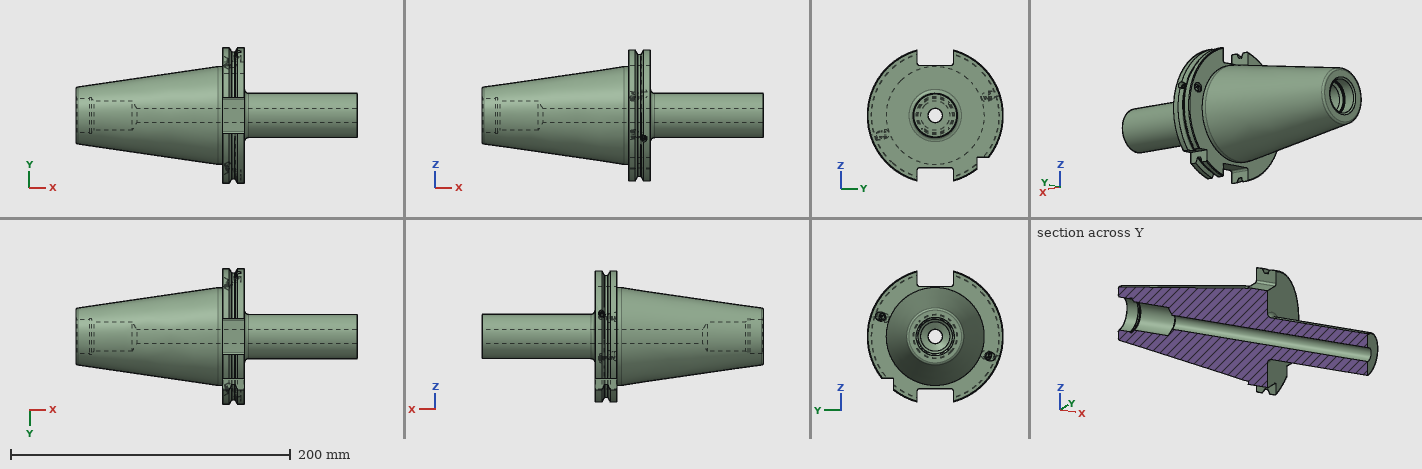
import cadquery as cq
import math

total_length = 201.5

gauge_x = 101.6
gauge_radius = 35.0
taper_slope = 3.5 / 24
small_end_radius = gauge_radius - gauge_x * taper_slope
small_end_fillet = 1.6

flange_start_x = 104.8
flange_end_x = 120.8
flange_diameter = 97.4
flange_radius = flange_diameter / 2
flange_chamfer = 0.6
groove_center_x = 112.7
groove_width = 6.0
groove_floor_width = 2.5
groove_wall_angle = 30.0
groove_floor_fillet = 0.6
groove_depth = (groove_width - groove_floor_width) / 2 / math.tan(math.radians(groove_wall_angle))

shank_radius = 16.0
shank_root_fillet = 2.8
shank_end_chamfer = 0.6

mouth_radius = 13.7
mouth_chamfer_length = 0.8
socket_radius = 12.3
socket_depth = 11.0
relief_radius = 13.0
relief_width = 1.5
thread_radius = 10.5
thread_depth = 40.3
drill_point_half_angle = 59.0
through_radius = 5.0

slot_width = 25.8
slot_fillet = 1.6
upper_slot_floor = 35.9
lower_slot_floor = 37.5

notch_corner = 30.0

coolant_angles = (20.0, 200.0)
plug_chamfer = 0.6
face_hole_pitch_radius = 41.7
face_hole_radius = 3.2
face_hole_tilt = 30.0
face_recess = 3.0
face_plug_length = 4.0
face_hexagon_width = 3.0
face_hexagon_depth = 2.0
side_hole_x = 115.7
side_hole_radius = 2.5
side_recess = 2.8
side_plug_length = 4.0
side_hexagon_width = 2.0
side_hexagon_depth = 1.6


def holder_blank():
    """Taper, flange and shank turned in one piece, before any bore or cut."""
    groove_floor_radius = flange_radius - groove_depth
    profile = (
        cq.Workplane("XY")
        .moveTo(0, 0)
        .lineTo(0, small_end_radius)
        .lineTo(gauge_x, gauge_radius)
        .lineTo(flange_start_x, gauge_radius)
        .lineTo(flange_start_x, flange_radius - flange_chamfer)
        .lineTo(flange_start_x + flange_chamfer, flange_radius)
        .lineTo(groove_center_x - groove_width / 2, flange_radius)
        .lineTo(groove_center_x - groove_floor_width / 2, groove_floor_radius)
        .lineTo(groove_center_x + groove_floor_width / 2, groove_floor_radius)
        .lineTo(groove_center_x + groove_width / 2, flange_radius)
        .lineTo(flange_end_x - flange_chamfer, flange_radius)
        .lineTo(flange_end_x, flange_radius - flange_chamfer)
        .lineTo(flange_end_x, shank_radius + shank_root_fillet)
        .radiusArc((flange_end_x + shank_root_fillet, shank_radius), -shank_root_fillet)
        .lineTo(total_length - shank_end_chamfer, shank_radius)
        .lineTo(total_length, shank_radius - shank_end_chamfer)
        .lineTo(total_length, 0)
        .close()
    )
    blank = profile.revolve(360, (0, 0, 0), (1, 0, 0))
    return blank.faces("<X").edges().fillet(small_end_fillet)


def round_groove_floor(blank):
    """Fillet both corners at the floor of the V groove."""
    reach = flange_radius
    floor_zone = cq.selectors.BoxSelector(
        (groove_center_x - groove_floor_width, -reach, -reach),
        (groove_center_x + groove_floor_width, reach, reach),
        boundingbox=True,
    )
    return blank.edges(floor_zone).edges("%CIRCLE").fillet(groove_floor_fillet)


def axial_bore():
    """Stepped bore: chamfered socket with a relief groove, threaded part, drill point and through hole."""
    step = socket_radius - thread_radius
    point_length = (thread_radius - through_radius) / math.tan(math.radians(drill_point_half_angle))
    return (
        cq.Workplane("XY")
        .moveTo(0, 0)
        .lineTo(0, mouth_radius)
        .lineTo(mouth_chamfer_length, socket_radius)
        .lineTo(socket_depth - relief_width, socket_radius)
        .lineTo(socket_depth - relief_width, relief_radius)
        .lineTo(socket_depth, relief_radius)
        .lineTo(socket_depth, socket_radius)
        .lineTo(socket_depth + step, thread_radius)
        .lineTo(thread_depth, thread_radius)
        .lineTo(thread_depth + point_length, through_radius)
        .lineTo(total_length, through_radius)
        .lineTo(total_length, 0)
        .close()
        .revolve(360, (0, 0, 0), (1, 0, 0))
    )


def flange_block(y_min, y_max, z_min, z_max):
    """Box across the full width of the flange."""
    return cq.Workplane("XY").box(
        flange_end_x - flange_start_x, y_max - y_min, z_max - z_min, centered=False
    ).translate((flange_start_x, y_min, z_min))


def driving_slots():
    """Two slots of different depth, above and below the axis, with rounded floor corners."""
    half = slot_width / 2
    upper = flange_block(-half, half, upper_slot_floor, flange_radius)
    lower = flange_block(-half, half, -flange_radius, -lower_slot_floor)
    return (
        upper.faces("<Z").edges("|X").fillet(slot_fillet),
        lower.faces(">Z").edges("|X").fillet(slot_fillet),
    )


def orientation_notch():
    """Square corner notch on the +Y, -Z side of the flange."""
    return flange_block(notch_corner, flange_radius, -flange_radius, -notch_corner)


def face_hole_plane(angle):
    """Plane on the taper-side flange face, its normal tilted outwards from the tool axis."""
    turn = math.radians(angle)
    tilt = math.radians(face_hole_tilt)
    out_y, out_z = math.cos(turn), math.sin(turn)
    center = (flange_start_x, face_hole_pitch_radius * out_y, face_hole_pitch_radius * out_z)
    normal = (-math.cos(tilt), math.sin(tilt) * out_y, math.sin(tilt) * out_z)
    return cq.Plane(origin=center, xDir=(0, -out_z, out_y), normal=normal)


def side_hole_plane(angle):
    """Plane at the flange rim, its normal pointing radially outwards."""
    turn = math.radians(angle)
    out_y, out_z = math.cos(turn), math.sin(turn)
    center = (side_hole_x, flange_radius * out_y, flange_radius * out_z)
    return cq.Plane(origin=center, xDir=(1, 0, 0), normal=(0, out_y, out_z))


def plug_hole(plane, radius, depth):
    """Blind hole that starts one diameter outside the plane, so it clears a slanted surface."""
    return cq.Workplane(plane).workplane(offset=-depth).circle(radius).extrude(depth + 2 * radius)


def plug(plane, radius, recess, length, hexagon_width, hexagon_depth):
    """Set screw sunk below the plane, with a chamfered rim and a hexagon socket in its outer end."""
    hexagon_diameter = hexagon_width / math.cos(math.radians(30))
    body = cq.Workplane(plane).workplane(offset=-recess).circle(radius).extrude(-length)
    outer_face = cq.selectors.DirectionMinMaxSelector(plane.zDir, True)
    body = body.faces(outer_face).edges().chamfer(plug_chamfer)
    socket = (
        cq.Workplane(plane).workplane(offset=-recess)
        .polygon(6, hexagon_diameter).extrude(-hexagon_depth)
    )
    return body.cut(socket)


holder = round_groove_floor(holder_blank()).cut(axial_bore()).cut(orientation_notch())
for slot in driving_slots():
    holder = holder.cut(slot)

face_plugs = []
side_plugs = []
for angle in coolant_angles:
    face_plane = face_hole_plane(angle)
    side_plane = side_hole_plane(angle)
    holder = holder.cut(plug_hole(face_plane, face_hole_radius, face_recess + face_plug_length))
    holder = holder.cut(plug_hole(side_plane, side_hole_radius, side_recess + side_plug_length))
    face_plugs.append(
        plug(face_plane, face_hole_radius, face_recess, face_plug_length,
             face_hexagon_width, face_hexagon_depth).val()
    )
    side_plugs.append(
        plug(side_plane, side_hole_radius, side_recess, side_plug_length,
             side_hexagon_width, side_hexagon_depth).val()
    )

result = cq.Compound.makeCompound([holder.val(), *face_plugs, *side_plugs])